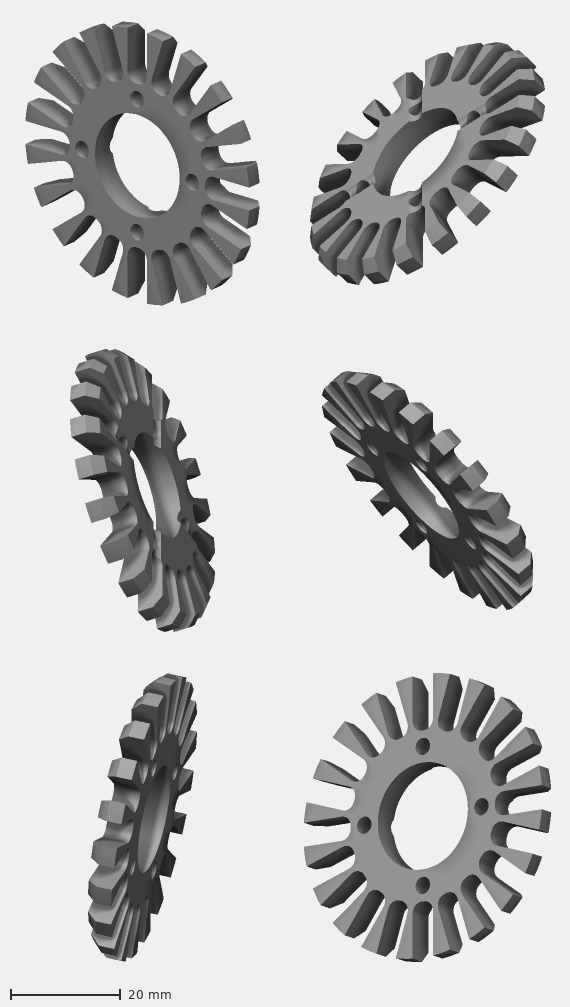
import cadquery as cq

outer_diameter = 53.0
bore_diameter = 20.0
thickness = 5.0
rim_chamfer = 2.0
back_y = thickness / 2
outer_radius = outer_diameter / 2

slot_count = 20
slot_width = 4.5
slot_floor_radius = 16.0
slot_corner_radius = 2.0
slot_clearance = 2.0
slot_length = outer_radius + slot_clearance - slot_floor_radius

hole_count = 4
hole_diameter = 3.2
hole_circle_diameter = 26.0

groove_radius = 1.9
groove_depth = 0.75
groove_axis_y = back_y - groove_depth + groove_radius


def make_disc():
    """Bored disc with its +Y rim chamfered."""
    blank = (
        cq.Workplane("XZ", origin=(0, back_y, 0))
        .circle(outer_radius)
        .extrude(thickness)
        .faces(">Y")
        .chamfer(rim_chamfer)
    )
    bore = cq.Workplane("XZ", origin=(0, back_y, 0)).circle(bore_diameter / 2).extrude(thickness)
    return blank.cut(bore)


def make_slot(angle):
    """Cutter for one radial slot with rounded inner corners."""
    return (
        cq.Workplane("XZ", origin=(slot_floor_radius + slot_length / 2, back_y, 0))
        .rect(slot_length, slot_width)
        .extrude(thickness)
        .edges("|Y and <X")
        .fillet(slot_corner_radius)
        .rotate((0, 0, 0), (0, 1, 0), angle)
    )


def make_holes():
    """Cutters for the through holes on the mounting circle."""
    return (
        cq.Workplane("XZ", origin=(0, back_y, 0))
        .polarArray(hole_circle_diameter / 2, 0, 360, hole_count)
        .circle(hole_diameter / 2)
        .extrude(thickness)
    )


def make_groove(plane):
    """Cutter for one groove running across the full diameter, normal to the given plane."""
    return (
        cq.Workplane(plane, origin=(0, groove_axis_y, 0))
        .circle(groove_radius)
        .extrude(outer_radius, both=True)
    )


result = make_disc()
for slot_index in range(slot_count):
    result = result.cut(make_slot(slot_index * 360 / slot_count))
result = result.cut(make_holes())
for groove_plane in ("YZ", "XY"):
    result = result.cut(make_groove(groove_plane))